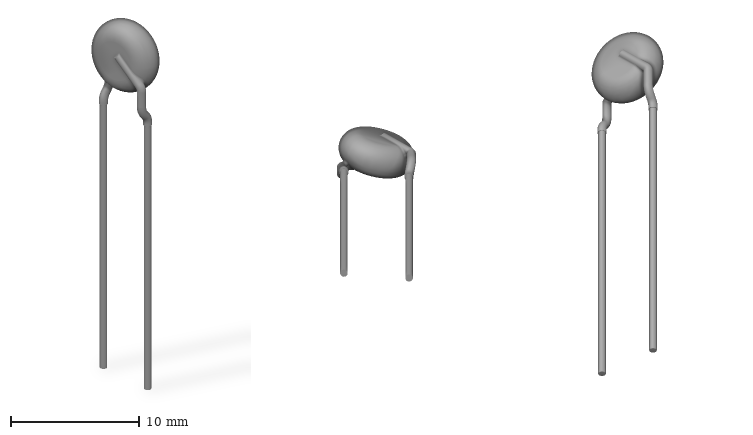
import cadquery as cq
import math

body_diameter = 6.0
body_thickness = 2.7
body_radius = body_diameter / 2
edge_radius = body_thickness / 2

overall_height = 31.0
wire_radius = 0.6 / 2
coating_radius = 0.7 / 2
lead_x = 2.5
upper_y = 3.1 / 2 - coating_radius
lower_y = 0.85 / 2
wire_bottom_z = body_radius - overall_height

coating_bottom_z = -5.08
jog_bottom_z = -4.87
jog_top_z = -3.2
elbow_bottom_z = -1.9

jog_upper_share = 0.57
jog_shift = upper_y - lower_y
jog_drop = jog_top_z - jog_bottom_z

elbow_radius = 0.55
elbow_turn = math.radians(47)
diagonal_length = 2.85

blend_radius = 0.15


def make_body():
    """Disc with a fully rounded rim and flat round faces."""
    flat_radius = body_radius - edge_radius
    half_section = (
        cq.Workplane("XY")
        .moveTo(0, -edge_radius)
        .lineTo(flat_radius, -edge_radius)
        .threePointArc((body_radius, 0), (flat_radius, edge_radius))
        .lineTo(0, edge_radius)
        .close()
    )
    return half_section.revolve(360, (0, 0, 0), (0, 1, 0))


def make_coating_path():
    """Centre line of the coated part of the lead at +X, -Y, from the bottom up."""
    jog_joint = cq.Vector(
        lead_x,
        -upper_y + jog_upper_share * jog_shift,
        jog_top_z - jog_upper_share * jog_drop,
    )
    start = cq.Vector(lead_x, -lower_y, coating_bottom_z)
    jog_bottom = cq.Vector(lead_x, -lower_y, jog_bottom_z)
    jog_top = cq.Vector(lead_x, -upper_y, jog_top_z)
    elbow_bottom = cq.Vector(lead_x, -upper_y, elbow_bottom_z)
    elbow_top = elbow_bottom + cq.Vector(
        -elbow_radius * (1 - math.cos(elbow_turn)),
        0,
        elbow_radius * math.sin(elbow_turn),
    )
    diagonal = cq.Vector(-math.sin(elbow_turn), 0, math.cos(elbow_turn))
    tip = elbow_top + diagonal * diagonal_length

    up = cq.Vector(0, 0, 1)
    lower_arc = cq.Edge.makeTangentArc(jog_bottom, up, jog_joint)
    upper_arc = cq.Edge.makeTangentArc(jog_joint, lower_arc.tangentAt(1), jog_top)
    return cq.Wire.assembleEdges([
        cq.Edge.makeLine(start, jog_bottom),
        lower_arc,
        upper_arc,
        cq.Edge.makeLine(jog_top, elbow_bottom),
        cq.Edge.makeTangentArc(elbow_bottom, up, elbow_top),
        cq.Edge.makeLine(elbow_top, tip),
    ])


def make_lead():
    """Bare straight wire below, coated and bent part above."""
    coating = (
        cq.Workplane("XY", origin=(lead_x, -lower_y, coating_bottom_z))
        .circle(coating_radius)
        .sweep(cq.Workplane(make_coating_path()))
    )
    wire = (
        cq.Workplane("XY", origin=(lead_x, -lower_y, wire_bottom_z))
        .circle(wire_radius)
        .extrude(coating_bottom_z - wire_bottom_z)
    )
    return wire.union(coating)


def blend_leads(part):
    """Fillet along the straight lines where the leads meet the flat disc faces;
    the blend runs on from there along the rounded rim."""
    margin = blend_radius / 10
    for face_y in (-edge_radius, edge_radius):
        face_region = cq.selectors.BoxSelector(
            (-body_radius, face_y - margin, -body_radius),
            (body_radius, face_y + margin, body_radius),
        )
        part = part.edges("%LINE").edges(face_region).fillet(blend_radius)
    return part


front_lead = make_lead()
rear_lead = front_lead.rotate((0, 0, 0), (0, 0, 1), 180)
result = blend_leads(make_body().union(front_lead).union(rear_lead))